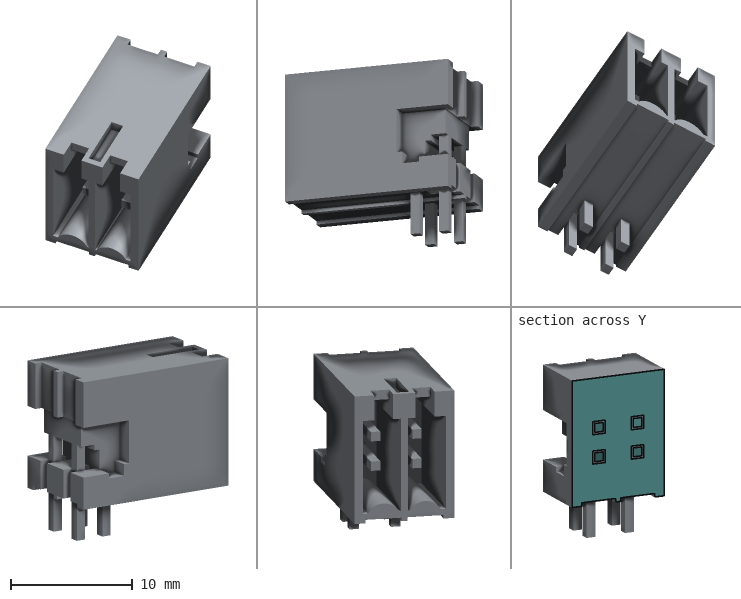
import cadquery as cq

housing_width = 8.4
housing_length = 14.2
housing_height = 10.8

contact_pitch = 3.5
row_spacing = 2.5
contact_centres = [-contact_pitch / 2, contact_pitch / 2]

pin_size = 0.8
pin_tail_length = 3.2
pin_tip_y = 2.84
lower_pin_z = 4.05
rear_pin_y = 13.09
pin_rows = [
    (rear_pin_y, lower_pin_z + row_spacing),
    (rear_pin_y - row_spacing, lower_pin_z),
]

cavity_depth = 8.52
cavity_inner_x = 0.3
cavity_outer_x = 3.5
cavity_floor_z = 0.81
cavity_shoulder_z = 8.69
roof_thickness = 0.81
keyway_width = 1.59
keyway_ceiling_z = housing_height - roof_thickness
roof_notch_depth = 1.52
hump_radius = 1.5
hump_top_z = 1.59

pin_recess_size = 1.06
pin_recess_depth = 0.28

roof_slot_width = 1.05
roof_slot_front_y = 0.48
roof_slot_rear_y = 5.01
roof_slot_depth = 0.9

groove_inner_x = 0.24
groove_outer_x = 3.3
groove_depth = 0.3

rear_notch_inner_x = 0.28
rear_notch_outer_x = 3.01
rear_notch_depth = 0.61

bay_ceiling_z = 6.95
ledge_z = 2.73
bay_floor_z = 2.3
bay_step_z = 3.3
bay_front_y = 9.73
bay_floor_front_y = 10.21
column_rear_y = 11.69
core_half_width = 2.78
core_rear_y = rear_pin_y + pin_size / 2
core_overhang_z = 4.91
core_step_y = 12.18
core_step_z = 4.43

tail_slot_width = 1.01


def block(x_range, y_range, z_range):
    """Box spanning the given coordinate ranges."""
    (x0, x1), (y0, y1), (z0, z1) = x_range, y_range, z_range
    return cq.Workplane("XY").box(x1 - x0, y1 - y0, z1 - z0, centered=False).translate((x0, y0, z0))


def centred(middle, size):
    """Coordinate range of the given size about its middle."""
    return (middle - size / 2, middle + size / 2)


def side_range(side, inner, outer):
    """X range between two distances from the mid-plane, on the left (-1) or right (1) side."""
    return tuple(sorted((side * inner, side * outer)))


def side_profile(points, x_range):
    """Solid with a Y-Z outline extruded across an X range."""
    x0, x1 = x_range
    return cq.Workplane("YZ").polyline(points).close().extrude(x1 - x0).translate((x0, 0, 0))


def cavity(side):
    """Mating cavity with a keyway above it and a rounded hump along its floor."""
    centre_x = side * contact_pitch / 2
    x_range = side_range(side, cavity_inner_x, cavity_outer_x)
    chamber = block(x_range, (0, cavity_depth), (cavity_floor_z, cavity_shoulder_z))
    hump = (
        cq.Workplane("XZ")
        .center(centre_x, hump_top_z - hump_radius)
        .circle(hump_radius)
        .extrude(-cavity_depth)
    )
    key_x = centred(centre_x, keyway_width)
    keyway = block(key_x, (0, cavity_depth), (cavity_shoulder_z, keyway_ceiling_z))
    roof_notch = block(key_x, (0, roof_notch_depth), (keyway_ceiling_z, housing_height))
    return chamber.cut(hump).union(keyway).union(roof_notch)


def rear_bay():
    """Bay across the full width at the rear, less the core that is left standing in it."""
    bay = side_profile(
        [
            (housing_length, bay_ceiling_z),
            (housing_length, ledge_z),
            (column_rear_y, ledge_z),
            (column_rear_y, bay_floor_z),
            (bay_floor_front_y, bay_floor_z),
            (bay_floor_front_y, bay_step_z),
            (bay_front_y, bay_step_z),
            (bay_front_y, bay_ceiling_z),
        ],
        centred(0, housing_width),
    )
    core = side_profile(
        [
            (core_rear_y, bay_ceiling_z),
            (core_rear_y, core_overhang_z),
            (core_step_y, core_overhang_z),
            (core_step_y, core_step_z),
            (column_rear_y, core_step_z),
            (column_rear_y, bay_floor_z),
            (bay_front_y, bay_floor_z),
            (bay_front_y, bay_ceiling_z),
        ],
        (-core_half_width, core_half_width),
    )
    return bay.cut(core)


def pin(centre_x, tail_y, arm_z):
    """L-shaped pin: an arm reaching forward into the cavity and a tail down through the underside."""
    rear_y = tail_y + pin_size / 2
    inner_y = tail_y - pin_size / 2
    top_z = arm_z + pin_size / 2
    bottom_z = arm_z - pin_size / 2
    return side_profile(
        [
            (pin_tip_y, top_z),
            (rear_y, top_z),
            (rear_y, -pin_tail_length),
            (inner_y, -pin_tail_length),
            (inner_y, bottom_z),
            (pin_tip_y, bottom_z),
        ],
        centred(centre_x, pin_size),
    )


def make_housing(pins):
    """Housing with its cavities, slots and bay, bored to fit the pins."""
    body = block(centred(0, housing_width), (0, housing_length), (0, housing_height))
    body = body.cut(rear_bay())
    body = body.cut(
        block(
            centred(0, roof_slot_width),
            (roof_slot_front_y, roof_slot_rear_y),
            (housing_height - roof_slot_depth, housing_height),
        )
    )
    for side in (-1, 1):
        body = body.cut(cavity(side))
        groove_x = side_range(side, groove_inner_x, groove_outer_x)
        body = body.cut(block(groove_x, (0, housing_length), (0, groove_depth)))
        notch_x = side_range(side, rear_notch_inner_x, rear_notch_outer_x)
        notch_y = (housing_length - rear_notch_depth, housing_length)
        body = body.cut(block(notch_x, notch_y, (bay_ceiling_z, housing_height)))
    for centre_x in contact_centres:
        slot_x = centred(centre_x, tail_slot_width)
        body = body.cut(block(slot_x, (column_rear_y, housing_length), (0, ledge_z)))
        for _, arm_z in pin_rows:
            recess_y = (cavity_depth, cavity_depth + pin_recess_depth)
            recess_x = centred(centre_x, pin_recess_size)
            body = body.cut(block(recess_x, recess_y, centred(arm_z, pin_recess_size)))
    for contact in pins:
        body = body.cut(contact)
    return body


pins = [pin(centre_x, tail_y, arm_z) for centre_x in contact_centres for tail_y, arm_z in pin_rows]
housing = make_housing(pins)

result = cq.Compound.makeCompound([housing.solids().val(), *[contact.val() for contact in pins]])